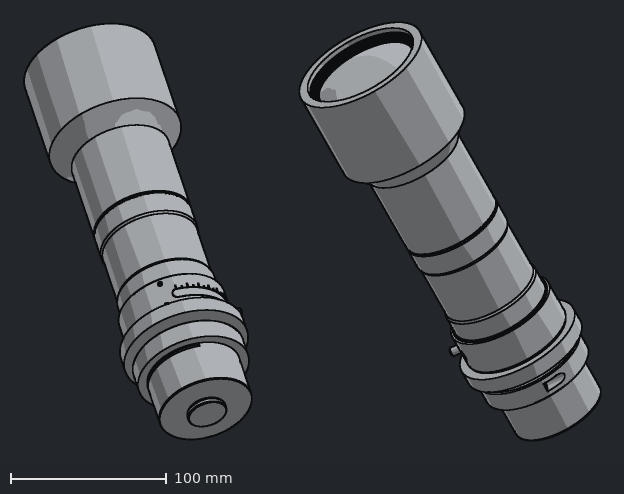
import cadquery as cq
import math

TOTAL_LENGTH = 289.5

HOOD_RADIUS = 44.0
CONE_MIDDLE_RADIUS = 37.5
BARREL_RADIUS = 32.7
GROOVE_RADIUS = 31.8
FOCUS_RADIUS = 31.8
SHOULDER_RADIUS = 34.0
SLEEVE_RADIUS = 35.5
SLEEVE_REAR_RADIUS = 35.0
FLANGE_RADIUS = 41.5
NECK_RADIUS = 26.5
LOCK_RING_RADIUS = 37.0
REAR_BODY_RADIUS = 31.0
REAR_LIP_RADIUS = 30.7
RIM_NECK_RADIUS = 24.3 / 2
RIM_RADIUS = 25.8 / 2

HOOD_END = 62.2
CONE_MIDDLE = 68.5
CONE_END = 75.2
GROOVE_START = 130.0
GROOVE_END = 131.7
FOCUS_START = 146.5
FOCUS_END = 185.5
FOCUS_TAPER = 1.7
SHOULDER_START = 200.5
SLEEVE_START = 201.5
SLEEVE_REAR_LIP = 224.5
FLANGE_START = 226.0
FLANGE_END = 236.5
LOCK_RING_START = 240.8
LOCK_RING_CHAMFER = 1.0
LOCK_RING_END = 254.7
REAR_LIP_START = 284.2
REAR_BODY_END = 285.0
RIM_START = 286.2
RIM_CHAMFER = 0.5

SEATS = [
    (38.0, 3.5),
    (37.0, 4.5),
    (36.2, 5.8),
    (35.3, 6.7),
    (34.7, 7.5),
    (34.0, 8.5),
]
LENS_EDGE_THICKNESS = 3.0
LENS_RISE = 7.2

PIN_DIAMETER = 6.0
PIN_X = 215.5
PIN_TIP = 42.5
PIN_CHAMFER = 1.0
SLOT_X = 215.5
SLOT_WIDTH = 6.7
SLOT_DEPTH = 0.5
SLOT_END_ANGLE = 110.0
SLOT_TOOL_HEIGHT = 3.0
MARK_COUNT = 13
MARK_PITCH = 6.4
MARK_WIDTH = 0.5
MARK_DEPTH = 0.3
LONG_MARK = 3.0
SHORT_MARK = 1.5
SCREW_HOLE_DIAMETER = 3.0
SCREW_HOLE_DEPTH = 0.5
SCREW_SOCKET_DIAMETER = 1.7
SCREW_SOCKET_DEPTH = 2.0
SCREW_TOOL_CLEARANCE = 3.0
SCREW_HOLE_XS = [205.0, 222.3]
SCREW_HOLE_ANGLE = -14.5

SET_SCREW_DIAMETER = 6.0
SET_SCREW_SOCKET = 3.2
SET_SCREW_X = 248.0
SET_SCREW_Z = -32.0
SET_SCREW_FLOOR_Y = -9.3
SET_SCREW_SOCKET_DEPTH = 3.0
SLIT_START = 255.8
SLIT_WIDTH = 1.5
SLIT_EDGE_Y = 3.5


def cylinder_x(radius, start, end):
    """Cylinder about the X axis between two positions."""
    return cq.Workplane("YZ", origin=(start, 0, 0)).circle(radius).extrude(end - start)


def turned(tool, angle):
    """Turn a tool made at the top round the X axis, positive towards +Y."""
    return tool.rotate((0, 0, 0), (1, 0, 0), -angle)


def make_barrel():
    front_outline = [
        (0, 0),
        (0, HOOD_RADIUS),
        (HOOD_END, HOOD_RADIUS),
    ]
    rear_outline = [
        (GROOVE_START, BARREL_RADIUS),
        (GROOVE_START, GROOVE_RADIUS),
        (GROOVE_END, GROOVE_RADIUS),
        (GROOVE_END, BARREL_RADIUS),
        (FOCUS_START, BARREL_RADIUS),
        (FOCUS_START + FOCUS_TAPER, FOCUS_RADIUS),
        (FOCUS_END, FOCUS_RADIUS),
        (FOCUS_END + FOCUS_TAPER, BARREL_RADIUS),
        (SHOULDER_START, BARREL_RADIUS),
        (SHOULDER_START, SHOULDER_RADIUS),
        (SLEEVE_START, SHOULDER_RADIUS),
        (SLEEVE_START, SLEEVE_RADIUS),
        (SLEEVE_REAR_LIP, SLEEVE_RADIUS),
        (FLANGE_START, SLEEVE_REAR_RADIUS),
        (FLANGE_START, FLANGE_RADIUS),
        (FLANGE_END, FLANGE_RADIUS),
        (FLANGE_END, NECK_RADIUS),
        (LOCK_RING_START, NECK_RADIUS),
        (LOCK_RING_START, LOCK_RING_RADIUS - LOCK_RING_CHAMFER),
        (LOCK_RING_START + LOCK_RING_CHAMFER, LOCK_RING_RADIUS),
        (LOCK_RING_END, LOCK_RING_RADIUS),
        (LOCK_RING_END, REAR_BODY_RADIUS),
        (REAR_LIP_START, REAR_BODY_RADIUS),
        (REAR_BODY_END, REAR_LIP_RADIUS),
        (REAR_BODY_END, RIM_NECK_RADIUS),
        (RIM_START, RIM_NECK_RADIUS),
        (RIM_START, RIM_RADIUS),
        (TOTAL_LENGTH - RIM_CHAMFER, RIM_RADIUS),
        (TOTAL_LENGTH, RIM_RADIUS - RIM_CHAMFER),
        (TOTAL_LENGTH, 0),
    ]
    outline = (
        cq.Workplane("XY")
        .polyline(front_outline)
        .threePointArc((CONE_MIDDLE, CONE_MIDDLE_RADIUS), (CONE_END, BARREL_RADIUS))
        .polyline(rear_outline, includeCurrent=True)
        .close()
    )
    return outline.revolve(360, (0, 0, 0), (1, 0, 0))


def cut_front_recess(body):
    for radius, depth in SEATS:
        body = body.cut(cylinder_x(radius, 0, depth))
    lens_radius, lens_edge = SEATS[-1]
    lens_angle = 2 * math.atan(LENS_RISE / lens_radius)
    sphere_radius = lens_radius / math.sin(lens_angle)
    arc_middle = (
        lens_edge - LENS_RISE + sphere_radius * (1 - math.cos(lens_angle / 2)),
        sphere_radius * math.sin(lens_angle / 2),
    )
    lens = (
        cq.Workplane("XY")
        .moveTo(lens_edge - LENS_RISE, 0)
        .threePointArc(arc_middle, (lens_edge, lens_radius))
        .lineTo(lens_edge + LENS_EDGE_THICKNESS, lens_radius)
        .lineTo(lens_edge + LENS_EDGE_THICKNESS, 0)
        .close()
        .revolve(360, (0, 0, 0), (1, 0, 0))
    )
    return body.union(lens)


def make_slot():
    """Groove round the sleeve from the top past the +Y side, with round ends."""
    floor_radius = SLEEVE_RADIUS - SLOT_DEPTH
    half_width = SLOT_WIDTH / 2
    slot = (
        cq.Workplane("XZ")
        .center(SLOT_X, 0)
        .moveTo(0, floor_radius + SLOT_TOOL_HEIGHT / 2)
        .rect(SLOT_WIDTH, SLOT_TOOL_HEIGHT)
        .revolve(SLOT_END_ANGLE, (0, 0, 0), (-1, 0, 0))
    )
    core = cylinder_x(floor_radius, SLOT_X - SLOT_WIDTH, SLOT_X + SLOT_WIDTH)
    round_end = cq.Workplane("XY", origin=(SLOT_X, 0, 0)).circle(half_width)
    round_end = round_end.extrude(floor_radius + SLOT_TOOL_HEIGHT / 2).cut(core)
    for angle in (0, SLOT_END_ANGLE):
        slot = slot.union(turned(round_end, angle))
    return slot


def cut_scale_marks(body):
    slot_edge = SLOT_X - SLOT_WIDTH / 2
    for index in range(MARK_COUNT):
        length = LONG_MARK if index % 2 == 0 else SHORT_MARK
        mark = cq.Workplane("XY").box(length, MARK_WIDTH, 2 * MARK_DEPTH)
        mark = mark.translate((slot_edge - length / 2, 0, SLEEVE_RADIUS))
        body = body.cut(turned(mark, index * MARK_PITCH))
    return body


def make_sleeve_screw_hole(x):
    """Shallow round seat with a narrower, deeper socket, radial to the sleeve."""
    top = cq.Workplane("XY", origin=(x, 0, SLEEVE_RADIUS + SCREW_TOOL_CLEARANCE))
    seat = top.circle(SCREW_HOLE_DIAMETER / 2).extrude(-SCREW_TOOL_CLEARANCE - SCREW_HOLE_DEPTH)
    socket = top.circle(SCREW_SOCKET_DIAMETER / 2).extrude(-SCREW_TOOL_CLEARANCE - SCREW_SOCKET_DEPTH)
    return turned(seat.union(socket), SCREW_HOLE_ANGLE)


def make_set_screw_notch():
    """Flat-floored notch along Y, round on top and open below, with the screw socket in its floor."""
    floor = cq.Workplane("XZ", origin=(SET_SCREW_X, SET_SCREW_FLOOR_Y, SET_SCREW_Z))
    notch = floor.circle(SET_SCREW_DIAMETER / 2).extrude(LOCK_RING_RADIUS)
    opening = floor.center(0, -SET_SCREW_DIAMETER / 2).rect(SET_SCREW_DIAMETER, SET_SCREW_DIAMETER)
    notch = notch.union(opening.extrude(LOCK_RING_RADIUS))
    socket = floor.circle(SET_SCREW_SOCKET / 2).extrude(-SET_SCREW_SOCKET_DEPTH)
    return notch.union(socket)


def make_pin():
    pin = (
        cq.Workplane("XZ", origin=(PIN_X, 0, 0))
        .circle(PIN_DIAMETER / 2)
        .extrude(-PIN_TIP)
        .faces(">Y")
        .chamfer(PIN_CHAMFER)
    )
    return pin


def make_slit():
    slit_end = SLIT_START + SLIT_WIDTH
    ring = cylinder_x(LOCK_RING_RADIUS, SLIT_START, slit_end)
    ring = ring.cut(cylinder_x(NECK_RADIUS, SLIT_START, slit_end))
    side = 2 * LOCK_RING_RADIUS
    half = cq.Workplane("XY").box(side, side, side)
    return ring.intersect(half.translate((SLIT_START, SLIT_EDGE_Y - side / 2, 0)))


result = cut_front_recess(make_barrel())
result = result.cut(make_slot())
result = cut_scale_marks(result)
for hole_x in SCREW_HOLE_XS:
    result = result.cut(make_sleeve_screw_hole(hole_x))
result = result.cut(make_set_screw_notch())
result = result.cut(make_slit())
result = result.union(make_pin())